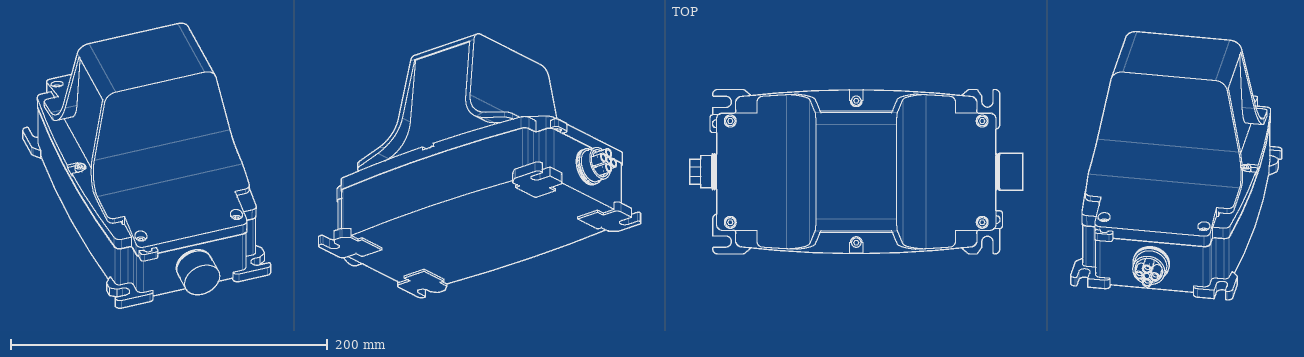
import cadquery as cq
import math

BODY_BOTTOM_Z = 1.5
FOOT_TOP_Z = 6.3
SEAM_Z = 36.0
RIM_Z = 43.8
TOP_Z = 121.0
CONNECTOR_Z = 21.0

LID_END_X = 88.2
LID_END_Y = 37.0
LID_SHOULDER_X = 76.2
LID_SHOULDER_Y = 47.1
LID_BULGE_TOP_Y = 51.8
LID_BULGE_BOTTOM_Y = 51.1
LID_STEP = 0.5
BODY_BULGE_Y = LID_BULGE_BOTTOM_Y - LID_STEP
END_CORNER_RADIUS = 3.5
LID_SHOULDER_RADIUS = 3.8
BODY_SHOULDER_RADIUS = 2.7
BODY_INNER_RADIUS = 2.5

HOOD_TOP_HALF_X = 25.5
FLARE_ANGLE = math.radians(14.3)
WALL_ANGLE = math.radians(85.4)
FLARE_RADIUS = 19.5
SHELL_THICKNESS = 3.5

HOOD_TOP_HALF_Y = 36.2
HOOD_SIDE_ANGLE = math.radians(10.8)
HOOD_TOP_RADIUS = 7.8
WING_END_X = 62.7
WING_CORNER_Y = 47.3
WING_BULGE_Y = 49.9
PANEL_TOP_Z = 114.5
PANEL_TOP_Y = 36.6
PANEL_BASE_Y = 38.3

FOOT_X = 90.7
FOOT_Y = 52.0
FOOT_INNER_X = 65.9
FOOT_INNER_Y = 26.7
FOOT_CHAMFER_X = 5.0
FOOT_CHAMFER_Y = 4.2
FOOT_CHAMFER_RADIUS = 2.0
FOOT_CORNER_RADIUS = 3.2
PRONG_WIDTH = 4.5
PRONG_TIP_RADIUS = 1.0
SLOT_WIDTH = 7.0
SIDE_SLOT_END_X = 79.0
TOP_SLOT_END_Y = 40.8
MOUTH_CUT_X = 3.0
PAD_INNER_X = 62.7
PAD_INNER_Y = 21.0
PAD_LENGTH_X = 16.2
PAD_LENGTH_Y = 19.8

TAB_X = 92.4
TAB_HEIGHT = 5.3
TAB_WIDTH = 11.4
TAB_Y = 30.3
TAB_RADIUS = 1.9
EYELET_RADIUS = 2.5

SCREW_X = 79.5
SCREW_Y = 32.0
SIDE_SCREW_Y = 44.8
COUNTERBORE_RADIUS = 3.8
COUNTERBORE_FLOOR_Z = 40.0
SIDE_COUNTERBORE_FLOOR_Z = 41.7
HEAD_RADIUS = 3.0
HEAD_HEIGHT = 2.7
SOCKET_DIAMETER = 3.4
SOCKET_DEPTH = 1.7
RELIEF_HALF_WIDTH = 4.5

CONNECTOR_END_X = 105.2
CONNECTOR_ROOT_X = 80.0
COLLAR_RADIUS = 10.3
COLLAR_END_X = 98.3
COLLAR_BORE_RADIUS = 8.8
COLLAR_BORE_DEPTH = 3.2
THREAD_RADIUS = 11.5
THREAD_PITCH = 1.3
THREAD_END_X = 91.3
RIDGES = 3
PIN_RADIUS = 3.0
PIN_SPACING = 5.0
PIN_BORE_RADIUS = 2.0
PIN_BORE_DEPTH = 3.2
CENTRE_PIN_RADIUS = 1.9
NUT_RADIUS = 11.8
NUT_START_X = 90.5


def stepped_outline(end_x, end_y, shoulder_x, shoulder_y, bulge_y, z):
    """Rectangle end_x by end_y crossed by a wider middle with bowed long sides."""
    return (
        cq.Workplane("XY", origin=(0, 0, z))
        .moveTo(end_x, -end_y)
        .lineTo(end_x, end_y)
        .lineTo(shoulder_x, end_y)
        .lineTo(shoulder_x, shoulder_y)
        .threePointArc((0, bulge_y), (-shoulder_x, shoulder_y))
        .lineTo(-shoulder_x, end_y)
        .lineTo(-end_x, end_y)
        .lineTo(-end_x, -end_y)
        .lineTo(-shoulder_x, -end_y)
        .lineTo(-shoulder_x, -shoulder_y)
        .threePointArc((0, -bulge_y), (shoulder_x, -shoulder_y))
        .lineTo(shoulder_x, -end_y)
        .close()
    )


def round_corners(solid, x, y, radius):
    """Fillet the upright edges at the four mirrored corners (x, y)."""
    reach = 0.6
    for sx in (-1, 1):
        for sy in (-1, 1):
            low = (sx * x - reach, sy * y - reach, 0)
            high = (sx * x + reach, sy * y + reach, TOP_Z)
            solid = solid.edges(cq.selectors.BoxSelector(low, high)).fillet(radius)
    return solid


def make_body():
    end_x, end_y = LID_END_X - LID_STEP, LID_END_Y - LID_STEP
    shoulder_x, shoulder_y = LID_SHOULDER_X - LID_STEP, LID_SHOULDER_Y - LID_STEP
    outline = stepped_outline(end_x, end_y, shoulder_x, shoulder_y, BODY_BULGE_Y, BODY_BOTTOM_Z)
    body = outline.extrude(SEAM_Z - BODY_BOTTOM_Z)
    body = round_corners(body, end_x, end_y, END_CORNER_RADIUS)
    body = round_corners(body, shoulder_x, shoulder_y, BODY_SHOULDER_RADIUS)
    return round_corners(body, shoulder_x, end_y, BODY_INNER_RADIUS)


def make_rim():
    """Lid edge whose bowed long sides flare outwards towards the top."""
    sizes = (LID_END_X, LID_END_Y, LID_SHOULDER_X, LID_SHOULDER_Y)
    lower = stepped_outline(*sizes, LID_BULGE_BOTTOM_Y, SEAM_Z).val()
    upper = stepped_outline(*sizes, LID_BULGE_TOP_Y, RIM_Z).val()
    rim = cq.Workplane(cq.Solid.makeLoft([lower, upper], True))
    rim = round_corners(rim, LID_END_X, LID_END_Y, END_CORNER_RADIUS)
    return round_corners(rim, LID_SHOULDER_X, LID_SHOULDER_Y, LID_SHOULDER_RADIUS)


def flared_prism(inset, top_z):
    """Prism along Y under the hood's flared side profile moved inwards by inset."""
    foot_x = -LID_END_X + inset * math.sin(FLARE_ANGLE)
    foot_z = RIM_Z - inset * math.cos(FLARE_ANGLE)
    wall_x = -HOOD_TOP_HALF_X + inset * math.sin(WALL_ANGLE)
    wall_z = TOP_Z - inset * math.cos(WALL_ANGLE)
    flare_slope = math.tan(FLARE_ANGLE)
    wall_slope = math.tan(WALL_ANGLE)
    bend_x = (wall_slope * wall_x - flare_slope * foot_x + foot_z - wall_z) / (wall_slope - flare_slope)
    bend_z = foot_z + flare_slope * (bend_x - foot_x)
    base_x = foot_x + (RIM_Z - foot_z) / flare_slope
    top_x = wall_x + (top_z - wall_z) / wall_slope

    radius = FLARE_RADIUS + inset
    half_turn = (WALL_ANGLE - FLARE_ANGLE) / 2
    tangent = radius * math.tan(half_turn)
    arc_start = (bend_x - tangent * math.cos(FLARE_ANGLE), bend_z - tangent * math.sin(FLARE_ANGLE))
    arc_end = (bend_x + tangent * math.cos(WALL_ANGLE), bend_z + tangent * math.sin(WALL_ANGLE))
    middle_angle = (WALL_ANGLE + FLARE_ANGLE) / 2 + math.pi / 2
    gap = radius / math.cos(half_turn) - radius
    arc_middle = (bend_x + gap * math.cos(middle_angle), bend_z + gap * math.sin(middle_angle))

    def mirrored(point):
        return (-point[0], point[1])

    outline = (
        cq.Workplane("XZ")
        .moveTo(base_x, RIM_Z)
        .lineTo(*arc_start)
        .threePointArc(arc_middle, arc_end)
        .lineTo(top_x, top_z)
        .lineTo(-top_x, top_z)
        .lineTo(*mirrored(arc_end))
        .threePointArc(mirrored(arc_middle), mirrored(arc_start))
        .lineTo(-base_x, RIM_Z)
        .close()
    )
    return outline.extrude(FOOT_Y, both=True)


def cross_prism(base_y, base_z, top_y, top_z):
    """Prism along X over a symmetric trapezoid."""
    corners = [(-base_y, base_z), (base_y, base_z), (top_y, top_z), (-top_y, top_z)]
    return cq.Workplane("YZ").polyline(corners).close().extrude(LID_END_X, both=True)


def make_hood():
    base_y = HOOD_TOP_HALF_Y + (TOP_Z - RIM_Z) * math.tan(HOOD_SIDE_ANGLE)
    taper = cross_prism(base_y, RIM_Z, HOOD_TOP_HALF_Y, TOP_Z)
    taper = taper.edges("|X").edges(">Z").fillet(HOOD_TOP_RADIUS)
    plan = stepped_outline(LID_END_X, LID_END_Y, WING_END_X, WING_CORNER_Y, WING_BULGE_Y, RIM_Z)
    plan = plan.extrude(TOP_Z - RIM_Z)
    plan = round_corners(plan, LID_END_X, LID_END_Y, END_CORNER_RADIUS)
    plan = round_corners(plan, WING_END_X, WING_CORNER_Y, LID_SHOULDER_RADIUS)
    core = cross_prism(PANEL_BASE_Y, RIM_Z, PANEL_TOP_Y, PANEL_TOP_Z)
    recess = flared_prism(SHELL_THICKNESS, PANEL_TOP_Z).cut(core)
    return flared_prism(0, TOP_Z).intersect(taper).intersect(plan).cut(recess)


def foot_outline():
    """Corner foot without its slot, for the +X +Y corner."""
    return (
        cq.Workplane("XY")
        .moveTo(FOOT_INNER_X, FOOT_INNER_Y)
        .lineTo(FOOT_X, FOOT_INNER_Y)
        .lineTo(FOOT_X, FOOT_Y)
        .lineTo(FOOT_INNER_X + FOOT_CHAMFER_X, FOOT_Y)
        .lineTo(FOOT_INNER_X, FOOT_Y - FOOT_CHAMFER_Y)
        .close()
        .extrude(FOOT_TOP_Z)
        .edges("|Z and >X")
        .fillet(FOOT_CORNER_RADIUS)
        .edges(cq.selectors.NearestToPointSelector((FOOT_INNER_X + FOOT_CHAMFER_X, FOOT_Y, FOOT_TOP_Z / 2)))
        .fillet(FOOT_CHAMFER_RADIUS)
    )


def round_prong(foot, tip_x, tip_y):
    """Ease the slot-side corner of the prong tip."""
    tip = cq.selectors.NearestToPointSelector((tip_x, tip_y, FOOT_TOP_Z / 2))
    return foot.edges(tip).fillet(PRONG_TIP_RADIUS)


def make_pad():
    """Low pad under the body, reaching further inwards than the foot."""
    corner = (PAD_INNER_X, PAD_INNER_Y, 0)
    size = (PAD_LENGTH_X, PAD_LENGTH_Y, BODY_BOTTOM_Z)
    return cq.Workplane(cq.Solid.makeBox(*size, cq.Vector(*corner)))


def make_side_slot_foot():
    """Foot whose slot opens towards +X."""
    radius = SLOT_WIDTH / 2
    slot_y = FOOT_Y - PRONG_WIDTH - radius
    start_x = SIDE_SLOT_END_X + radius
    length = FOOT_X - start_x + radius
    round_end = cq.Workplane("XY").center(start_x, slot_y).circle(radius).extrude(FOOT_TOP_Z)
    opening = cq.Workplane("XY").center(start_x + length / 2, slot_y).rect(length, SLOT_WIDTH)
    foot = foot_outline().cut(round_end).cut(opening.extrude(FOOT_TOP_Z))
    return round_prong(foot, FOOT_X, FOOT_Y - PRONG_WIDTH).union(make_pad())


def make_top_slot_foot():
    """Foot whose slot opens towards +Y, with a cut-back edge on the inner side of the mouth."""
    radius = SLOT_WIDTH / 2
    slot_x = FOOT_X - PRONG_WIDTH - radius
    start_y = TOP_SLOT_END_Y + radius
    length = FOOT_Y - start_y + radius
    round_end = cq.Workplane("XY").center(slot_x, start_y).circle(radius).extrude(FOOT_TOP_Z)
    opening = cq.Workplane("XY").center(slot_x, start_y + length / 2).rect(SLOT_WIDTH, length)
    mouth_x = slot_x - radius
    cut_back = [
        (mouth_x, FOOT_Y),
        (mouth_x - MOUTH_CUT_X, FOOT_Y),
        (mouth_x, FOOT_Y - FOOT_CHAMFER_Y),
    ]
    foot = foot_outline().cut(round_end).cut(opening.extrude(FOOT_TOP_Z))
    foot = foot.cut(cq.Workplane("XY").polyline(cut_back).close().extrude(FOOT_TOP_Z))
    return round_prong(foot, FOOT_X - PRONG_WIDTH, FOOT_Y).union(make_pad())


def make_tab():
    """Eyelet tab on the +X end, half hidden under the lid edge."""
    length = TAB_X - SCREW_X
    tab = cq.Workplane("XY", origin=(TAB_X - length / 2, -TAB_Y, SEAM_Z)).rect(length, TAB_WIDTH)
    tab = tab.extrude(TAB_HEIGHT).edges("|Z and >X").fillet(TAB_RADIUS)
    eyelet = cq.Workplane("XY", origin=(LID_END_X, -TAB_Y, SEAM_Z)).circle(EYELET_RADIUS)
    return tab.cut(eyelet.extrude(TAB_HEIGHT))


def make_screw_head(x, y, floor_z):
    head = cq.Workplane("XY", origin=(x, y, floor_z)).circle(HEAD_RADIUS).extrude(HEAD_HEIGHT)
    return head.faces(">Z").workplane().polygon(6, SOCKET_DIAMETER).cutBlind(-SOCKET_DEPTH)


def make_counterbore(x, y, floor_z):
    return cq.Workplane("XY", origin=(x, y, floor_z)).circle(COUNTERBORE_RADIUS).extrude(TOP_Z - floor_z)


def make_relief(side, floor_z):
    """Cut that opens a side counterbore towards the bowed long side."""
    length = FOOT_Y - SIDE_SCREW_Y
    middle_y = side * (SIDE_SCREW_Y + length / 2)
    relief = cq.Workplane("XY", origin=(0, middle_y, floor_z)).rect(2 * RELIEF_HALF_WIDTH, length)
    return relief.extrude(RIM_Z - floor_z)


def add_screws(solid):
    for sx in (-1, 1):
        for sy in (-1, 1):
            place = (sx * SCREW_X, sy * SCREW_Y, COUNTERBORE_FLOOR_Z)
            solid = solid.cut(make_counterbore(*place)).union(make_screw_head(*place))
    for side in (-1, 1):
        place = (0, side * SIDE_SCREW_Y, SIDE_COUNTERBORE_FLOOR_Z)
        solid = solid.cut(make_counterbore(*place)).cut(make_relief(side, SIDE_COUNTERBORE_FLOOR_Z))
        solid = solid.union(make_screw_head(*place))
    return solid


def end_cylinder(start_x, end_x, radius, y=0, z=CONNECTOR_Z):
    return cq.Workplane("YZ", origin=(start_x, y, z)).circle(radius).extrude(end_x - start_x)


def make_thread(inner_x, side):
    """Ridged sleeve on the connector axis, running from inner_x outwards to the given side."""
    outline = cq.Workplane("XY", origin=(0, 0, CONNECTOR_Z)).moveTo(side * CONNECTOR_ROOT_X, 0)
    outline = outline.lineTo(side * CONNECTOR_ROOT_X, COLLAR_RADIUS)
    for ridge in range(RIDGES):
        valley_x = inner_x + ridge * THREAD_PITCH
        outline = outline.lineTo(side * valley_x, COLLAR_RADIUS)
        outline = outline.lineTo(side * (valley_x + THREAD_PITCH / 2), THREAD_RADIUS)
    end_x = inner_x + RIDGES * THREAD_PITCH
    outline = outline.lineTo(side * end_x, COLLAR_RADIUS).lineTo(side * end_x, 0).close()
    return outline.revolve(360, (0, 0, 0), (1, 0, 0))


def make_plug():
    """Connector with exposed pins on the -X end."""
    thread_start_x = THREAD_END_X - RIDGES * THREAD_PITCH
    plug = make_thread(thread_start_x, -1)
    plug = plug.union(end_cylinder(-COLLAR_END_X, -CONNECTOR_ROOT_X, COLLAR_RADIUS))
    pin_base_x = COLLAR_BORE_DEPTH - COLLAR_END_X
    plug = plug.cut(end_cylinder(-COLLAR_END_X, pin_base_x, COLLAR_BORE_RADIUS))
    plug = plug.union(end_cylinder(-CONNECTOR_END_X, pin_base_x, CENTRE_PIN_RADIUS))
    for dy, dz in ((1, 0), (-1, 0), (0, 1), (0, -1)):
        place = (dy * PIN_SPACING, CONNECTOR_Z + dz * PIN_SPACING)
        plug = plug.union(end_cylinder(-CONNECTOR_END_X, pin_base_x, PIN_RADIUS, *place))
        bore_end_x = -CONNECTOR_END_X + PIN_BORE_DEPTH
        plug = plug.cut(end_cylinder(-CONNECTOR_END_X, bore_end_x, PIN_BORE_RADIUS, *place))
    return plug


def make_socket():
    """Connector with a plain round nut on the +X end."""
    thread = make_thread(NUT_START_X - 2 * THREAD_PITCH, 1)
    return thread.union(end_cylinder(NUT_START_X, CONNECTOR_END_X, NUT_RADIUS))


housing = make_body().union(make_rim()).union(make_hood())

tab = make_tab()
housing = housing.union(tab).union(tab.rotate((0, 0, 0), (0, 0, 1), 180))

right_foot = make_top_slot_foot()
left_foot = make_side_slot_foot().mirror("YZ")
for foot in (right_foot, left_foot):
    housing = housing.union(foot).union(foot.mirror("XZ"))

result = add_screws(housing).union(make_plug()).union(make_socket())